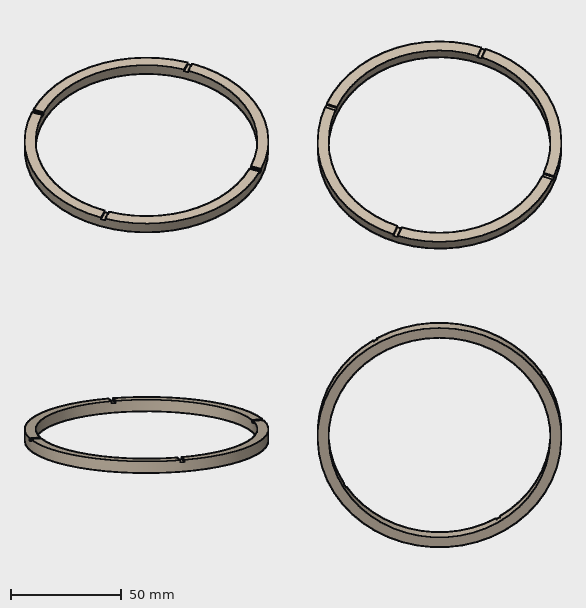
import cadquery as cq

outer_diameter = 110.0
inner_diameter = 100.0
height = 5.5

notch_width = 2.0
notch_depth = 1.0


def ring():
    return cq.Workplane("XY").circle(outer_diameter / 2).circle(inner_diameter / 2).extrude(height)


def notch_bar(length_x, length_y):
    """Bar spanning the ring, whose top is flush with the ring's top face."""
    return (
        cq.Workplane("XY")
        .workplane(offset=height - notch_depth)
        .rect(length_x, length_y)
        .extrude(notch_depth)
    )


result = (
    ring()
    .cut(notch_bar(outer_diameter, notch_width))
    .cut(notch_bar(notch_width, outer_diameter))
)